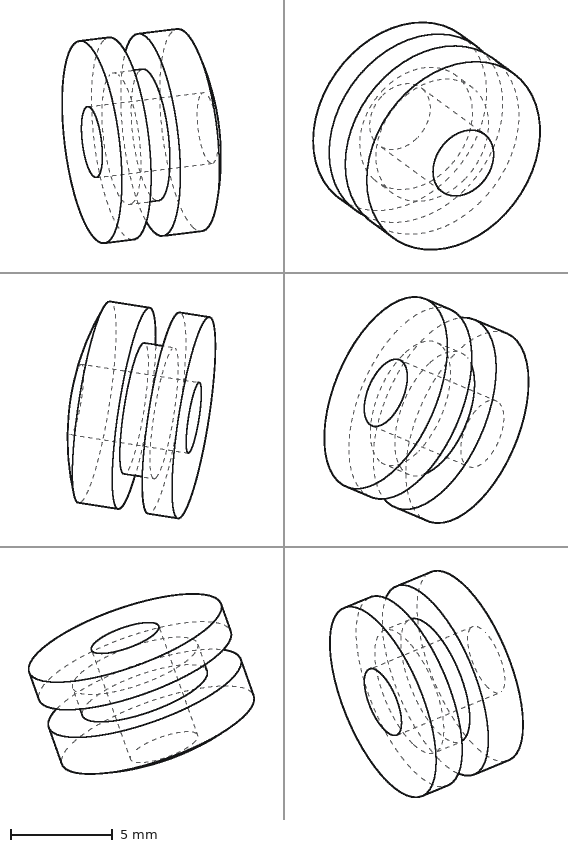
import cadquery as cq
import math

outer_radius = 10 / 2
groove_radius = 6.5 / 2
bore_radius = 3.5 / 2
front_flange_width = 1.5
groove_width = 1.5
rear_flange_width = 2
dome_radius = 12.5

groove_start = front_flange_width
groove_end = groove_start + groove_width
dome_start = groove_end + rear_flange_width
dome_center = dome_start - math.sqrt(dome_radius**2 - outer_radius**2)


def dome_point(radius):
    """Point of the dome profile at a given distance from the axis."""
    return radius, dome_center + math.sqrt(dome_radius**2 - radius**2)


half_section = (
    cq.Workplane("XY")
    .moveTo(bore_radius, 0)
    .lineTo(outer_radius, 0)
    .lineTo(outer_radius, groove_start)
    .lineTo(groove_radius, groove_start)
    .lineTo(groove_radius, groove_end)
    .lineTo(outer_radius, groove_end)
    .lineTo(outer_radius, dome_start)
    .threePointArc(dome_point((outer_radius + bore_radius) / 2), dome_point(bore_radius))
    .close()
)

result = half_section.revolve(360, (0, 0, 0), (0, 1, 0))